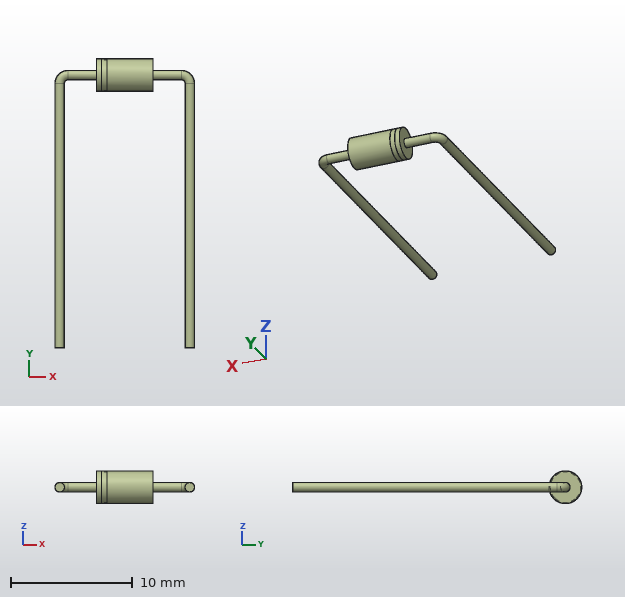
import cadquery as cq

CASE_DIAMETER = 2.7
CASE_LENGTH = 4.65
BAND_OFFSET = 0.43
BAND_WIDTH = 0.43
BAND_DEPTH = 0.1

LEAD_DIAMETER = 0.785
LEAD_SPAN = 11.48
LEAD_REACH = 22.4
BEND_RADIUS = 0.7

CASE_END = CASE_LENGTH / 2
BAND_START = -CASE_END + BAND_OFFSET
LEAD_X = (LEAD_SPAN - LEAD_DIAMETER) / 2


def make_band():
    """Polarity ring, flush with the outside of the case."""
    outer_radius = CASE_DIAMETER / 2
    return (
        cq.Workplane("YZ", origin=(BAND_START, 0, 0))
        .circle(outer_radius)
        .circle(outer_radius - BAND_DEPTH)
        .extrude(BAND_WIDTH)
    )


def make_case(band):
    """Cylindrical case with a groove that holds the band."""
    cylinder = (
        cq.Workplane("YZ", origin=(-CASE_END, 0, 0))
        .circle(CASE_DIAMETER / 2)
        .extrude(CASE_LENGTH)
    )
    return cylinder.cut(band)


def make_lead(side):
    """Round wire from a case end face, bent once toward -Y; side is -1 or +1 along X."""
    bend_start = (side * (LEAD_X - BEND_RADIUS), 0)
    bend_end = (side * LEAD_X, -BEND_RADIUS)
    centreline = (
        cq.Workplane("XY")
        .moveTo(side * CASE_END, 0)
        .lineTo(*bend_start)
        .tangentArcPoint(bend_end, relative=False)
        .lineTo(side * LEAD_X, -LEAD_REACH)
    )
    return (
        cq.Workplane("YZ", origin=(side * CASE_END, 0, 0))
        .circle(LEAD_DIAMETER / 2)
        .sweep(centreline)
    )


band = make_band()
case = make_case(band)
leads = [make_lead(side) for side in (-1, 1)]

result = cq.Compound.makeCompound([case.val(), band.val(), *[lead.val() for lead in leads]])